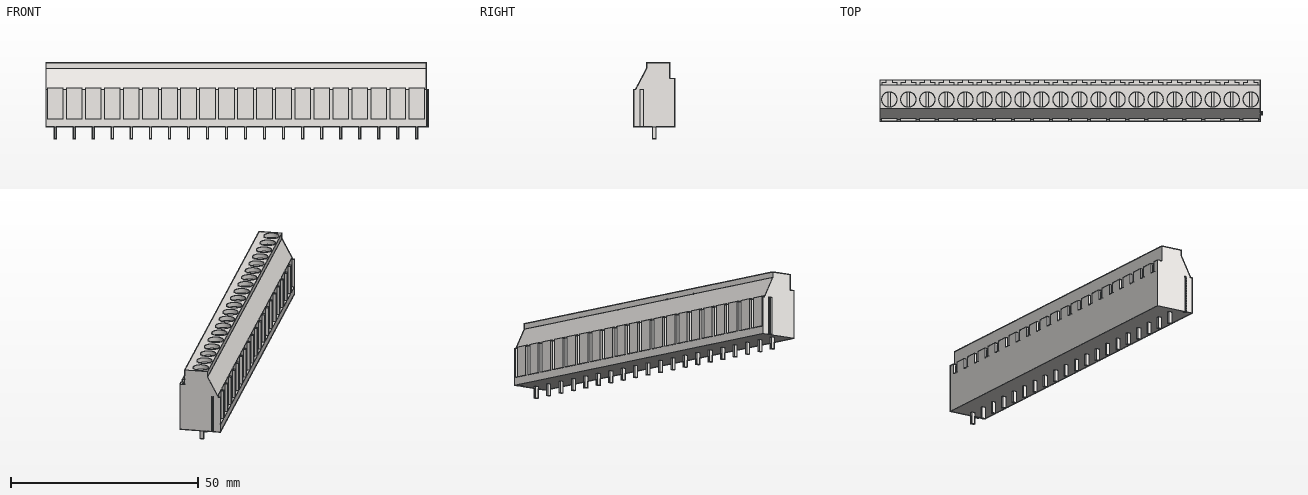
import cadquery as cq


overall_length = 102.2
body_depth = 11.0
overall_height = 20.3
pole_count = 20

pin_length = 3.2
pin_width = 0.6
pin_depth = 0.97
pin_y = body_depth / 2

rail_projection = 0.65
rail_neck_projection = 0.36
rail_neck_width = 0.4
rail_head_width = 0.9
rail_y = 2.1
rail_height = 10.0

body_length = overall_length - rail_projection
body_height = overall_height - pin_length
pitch = body_length / pole_count
front_face_height = rail_height
ledge_depth = 0.5
brow_y = 3.5
brow_height = 1.5
back_step_depth = 1.3
back_step_drop = 4.2

pocket_width = 4.2
pocket_depth = 0.7
pocket_floor_z = 2.1

screw_diameter = 4.1
screw_y = 5.8
screw_recess = 1.2
screw_slot_width = 0.66
screw_slot_depth = 0.5

marker_neck_width = 1.6
marker_neck_depth = 0.66
marker_head_width = 4.0
marker_slot_depth = 2.8

pole_centres = [(pole + 0.5) * pitch for pole in range(pole_count)]


def box(width, depth, height, x, y, z):
    """Box centred on x, starting at y and z."""
    return cq.Workplane("XY").box(width, depth, height, centered=(True, False, False)).translate((x, y, z))


def at_each_pole(shape):
    """Copies of a shape modelled at x = 0, one on every pole."""
    copies = cq.Workplane("XY")
    for x in pole_centres:
        copies = copies.add(shape.translate((x, 0, 0)))
    return copies.combine(clean=False)


def make_housing():
    profile = [
        (0, 0),
        (0, front_face_height),
        (ledge_depth, front_face_height),
        (brow_y, body_height - brow_height),
        (brow_y, body_height),
        (body_depth - back_step_depth, body_height),
        (body_depth - back_step_depth, body_height - back_step_drop),
        (body_depth, body_height - back_step_drop),
        (body_depth, 0),
    ]
    return cq.Workplane("YZ").polyline(profile).close().extrude(body_length)


def make_rail(end_x):
    """T-section rail standing on the end face at end_x and pointing towards +X."""
    half_neck = rail_neck_width / 2
    half_head = rail_head_width / 2
    section = [
        (0, -half_neck),
        (rail_neck_projection, -half_neck),
        (rail_neck_projection, -half_head),
        (rail_projection, -half_head),
        (rail_projection, half_head),
        (rail_neck_projection, half_head),
        (rail_neck_projection, half_neck),
        (0, half_neck),
    ]
    rail = cq.Workplane("XY").polyline(section).close().extrude(rail_height)
    return rail.translate((end_x, rail_y, 0))


def make_wire_pocket():
    return box(pocket_width, pocket_depth, body_height - pocket_floor_z, 0, 0, pocket_floor_z)


def make_screw_recess():
    head_z = body_height - screw_recess
    rim = cq.Workplane("XY").circle(screw_diameter / 2).extrude(body_height).translate((0, screw_y, 0))
    bore = rim.intersect(box(screw_diameter, body_depth, screw_recess, 0, 0, head_z))
    slot_z = head_z - screw_slot_depth
    slot_bar = box(screw_slot_width, screw_diameter, screw_slot_depth, 0, screw_y - screw_diameter / 2, slot_z)
    slot = slot_bar.intersect(rim)
    return bore.union(slot)


def make_marker_slot():
    floor_z = body_height - back_step_drop - marker_slot_depth
    head_depth = back_step_depth - marker_neck_depth
    head = box(marker_head_width, head_depth, marker_slot_depth, 0, body_depth - back_step_depth, floor_z)
    neck = box(marker_neck_width, marker_neck_depth, marker_slot_depth, 0, body_depth - marker_neck_depth, floor_z)
    return head.union(neck)


def make_pin():
    return box(pin_width, pin_depth, pin_length, 0, pin_y - pin_depth / 2, -pin_length)


result = make_housing()
for cutter in (make_wire_pocket(), make_screw_recess(), make_marker_slot()):
    result = result.cut(at_each_pole(cutter))
result = result.cut(make_rail(0))
result = result.union(make_rail(body_length))
result = result.union(at_each_pole(make_pin()))